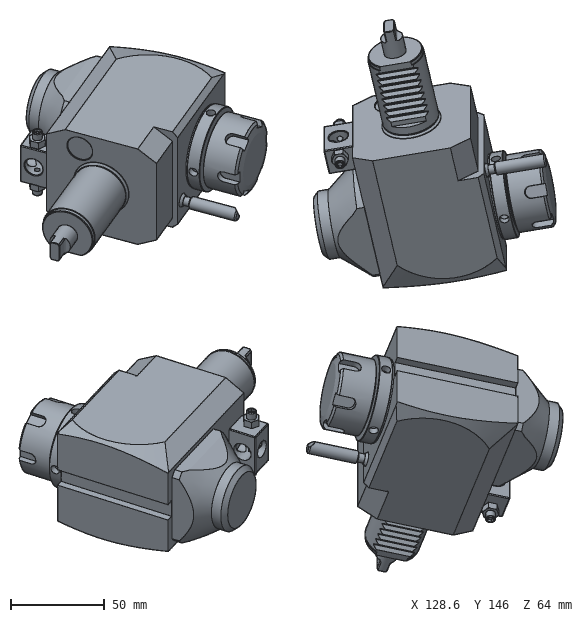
import cadquery as cq
import math

OVERLAP = 1.0

HALF_HEIGHT = 32.0
BLOCK_LEFT = -32.0
BLOCK_RIGHT = 32.0
SPINDLE_FACE = 35.0
BLOCK_DEPTH = 84.0
RELIEF_DEPTH = 21.2
BEVEL_Z = 6.3
BEVEL_ANGLE = 30.0
BEVEL_X = BEVEL_Z / math.tan(math.radians(BEVEL_ANGLE))
RIGHT_CHAMFER = 3.0
KEYWAY_WIDTH = 10.0
KEYWAY_DEPTH = 4.0

SHOULDER_X = 8.5
SHOULDER_Y = 42.0
SHOULDER_RADIUS = 39.0
SHOULDER_DROP = 10.0
SHOULDER_ANGLE = 18.5

RECESS_X = -12.6
RECESS_Z = 21.8
RECESS_RADIUS = 7.5
RECESS_DEPTH = 0.5
RECESS_TAPER = 0.3

SPINDLE_Y = 55.0

COVER_TIP_X = -61.0
COVER_TIP_CHAMFER = 2.7
COVER_RADIUS = 18.5
COVER_CONE_START_X = -52.6
COVER_CONE_END_X = -36.3
COVER_BASE_RADIUS = 31.6
COVER_BACK_Y = 79.5
COVER_HALF_HEIGHT = 23.2
COVER_CORNER = 2.3
COVER_SLOPE_X = -39.0
COVER_SLOPE_ANGLE = 15.0

SEAT_RADIUS = 23.0
RING_START_X = 35.8
RING_END_X = 43.2
RING_RADIUS = 23.5
RING_EDGE = 0.3
NECK_RADIUS = 17.5
NUT_START_X = 44.1
NUT_RADIUS = 21.0
NUT_SHOULDER_X = 62.4
NUT_RIM_X = 63.6
NUT_RIM_RADIUS = 19.6
NUT_END_X = 64.7
NUT_END_RADIUS = 14.5
RING_HOLE_X = 39.5
RING_HOLE_RADIUS = 2.5
RING_HOLE_DEPTH = 4.0
RING_HOLE_COUNT = 4
DRILL_TIP_ANGLE = 30.0
SLOT_COUNT = 6
SLOT_WIDTH = 6.6
SLOT_START_X = 52.6
SLOT_FLOOR_RADIUS = 17.4

NOZZLE_Y = 27.0
NOZZLE_Z = -16.9
NOZZLE_RADIUS = 3.5
NOZZLE_BASE_RADIUS = 3.9
NOZZLE_BASE_TOP_RADIUS = 2.9
NOZZLE_NECK_RADIUS = 2.5
NOZZLE_NECK_START_X = 36.6
NOZZLE_NECK_END_X = 39.9
NOZZLE_BODY_X = 40.6
NOZZLE_END_X = 67.63
NOZZLE_CHAMFER = 0.8
NOZZLE_BEVEL_X = 64.6

SHANK_RADIUS = 15.2
SHANK_LENGTH = 45.0
COLLAR_RADIUS = 16.0
COLLAR_RIM = 0.3
COLLAR_LENGTH = 1.2
COLLAR_GROOVE_RADIUS = 14.7
SHANK_BODY_START = 1.9
SHANK_TIP_LENGTH = 2.2
SHANK_TIP_RADIUS = 14.7
SHANK_TIP_CHAMFER = 0.4
FLAT_DISTANCE = 12.0
FLAT_START = 6.7
TOOTH_PITCH = 4.0
TOOTH_GROOVES = 8
FIRST_GROOVE = 11.3
GROOVE_DEPTH = 1.9
GROOVE_HALF_WIDTH = 1.75
GROOVE_ROOT_HALF_WIDTH = 0.25

DRIVE_RADIUS = 5.95
DRIVE_LENGTH = 62.0
TANG_START = 54.7
TANG_THICKNESS = 5.8
TANG_ROOT_RADIUS = 1.0
TANG_EDGE = 0.8
TANG_TIP_CHAMFER = 0.4

VALVE_LEFT = -47.9
VALVE_FRONT_Y = 1.3
VALVE_BACK_Y = 16.2
VALVE_HALF_HEIGHT = 12.2
VALVE_EDGE = 0.5
PORT_X = -40.0
FRONT_PORT_RADIUS = 5.2
FRONT_PORT_CHAMFER = 0.4
SIDE_PORT_Y = 8.9
SIDE_PORT_RADIUS = 4.8
SIDE_PORT_END_X = -33.0
FEED_RADIUS = 1.5
SCREW_BORE_RADIUS = 1.5

SCREW_Y = 6.2
HEX_FLATS = 8.0
HEX_HEIGHT = 4.2
HEX_CORNER_CUT = 0.4
STUD_RADIUS = 2.65
STUD_TOP_Z = 20.9
STUD_CHAMFER = 0.5
SOCKET_FLATS = 3.0
SOCKET_DEPTH = 1.5


def spindle_revolve(points, y, z=0.0):
    """Revolve an (x, radius) outline about the axis parallel to X through (y, z)."""
    outline = cq.Workplane("XY").polyline(points).close()
    return outline.revolve(360, (0, 0, 0), (1, 0, 0)).translate((0, y, z))


def shank_revolve(points):
    """Revolve a (radius, distance in front of the housing) outline about the Y axis."""
    outline = cq.Workplane("XY").polyline([(r, -d) for r, d in points]).close()
    return outline.revolve(360, (0, 0, 0), (0, 1, 0))


def along_y(points, y_start, y_end):
    """Extrude an (x, z) outline from y_start to y_end."""
    plane = cq.Workplane("XZ", origin=(0, y_start, 0))
    return plane.polyline(points).close().extrude(y_start - y_end)


def box(x_range, y_range, z_range):
    """Box from its (low, high) extent along each axis."""
    size = [high - low for low, high in (x_range, y_range, z_range)]
    corner = (x_range[0], y_range[0], z_range[0])
    return cq.Workplane("XY").box(*size, centered=False).translate(corner)


def hexagon_corners(flats):
    """Width across corners of a regular hexagon, from its width across flats."""
    return flats / math.cos(math.pi / 6)


def mirrored_outline(upper):
    """Close an upper (x, z) half outline with its mirror image below Z = 0."""
    return upper + [(x, -z) for x, z in reversed(upper)]


def make_block():
    bevel_base = HALF_HEIGHT - BEVEL_Z
    left_edge = [(BLOCK_LEFT, bevel_base), (BLOCK_LEFT + BEVEL_X, HALF_HEIGHT)]
    front_right = [(BLOCK_RIGHT - BEVEL_X, HALF_HEIGHT), (BLOCK_RIGHT, bevel_base)]
    rear_right = [
        (SPINDLE_FACE - RIGHT_CHAMFER, HALF_HEIGHT),
        (SPINDLE_FACE, HALF_HEIGHT - RIGHT_CHAMFER),
    ]
    front = along_y(mirrored_outline(left_edge + front_right), 0, RELIEF_DEPTH)
    rear = along_y(mirrored_outline(left_edge + rear_right), RELIEF_DEPTH, BLOCK_DEPTH)
    block = front.union(rear.intersect(make_shoulder()))
    keyway = box(
        (BLOCK_LEFT - OVERLAP, SPINDLE_FACE + OVERLAP),
        (BLOCK_DEPTH - KEYWAY_DEPTH, BLOCK_DEPTH + OVERLAP),
        (-KEYWAY_WIDTH / 2, KEYWAY_WIDTH / 2),
    )
    recess = (
        cq.Workplane("XZ", origin=(RECESS_X, 0, RECESS_Z))
        .circle(RECESS_RADIUS)
        .workplane(offset=-RECESS_DEPTH)
        .circle(RECESS_RADIUS - RECESS_TAPER)
        .loft()
    )
    return block.cut(keyway).cut(recess)


def make_shoulder():
    """Double cone about a vertical axis that bevels the back corners above and below."""
    flare = SHOULDER_DROP / math.tan(math.radians(SHOULDER_ANGLE))
    rim_z = HALF_HEIGHT - SHOULDER_DROP
    rim_radius = SHOULDER_RADIUS + flare
    points = [
        (0, HALF_HEIGHT),
        (SHOULDER_RADIUS, HALF_HEIGHT),
        (rim_radius, rim_z),
        (rim_radius, -rim_z),
        (SHOULDER_RADIUS, -HALF_HEIGHT),
        (0, -HALF_HEIGHT),
    ]
    outline = cq.Workplane("XZ").polyline(points).close()
    return outline.revolve(360, (0, 0, 0), (0, 1, 0)).translate((SHOULDER_X, SHOULDER_Y, 0))


def make_cover():
    base_x = BLOCK_LEFT + OVERLAP
    body = spindle_revolve(
        [
            (COVER_TIP_X, 0),
            (COVER_TIP_X, COVER_RADIUS - COVER_TIP_CHAMFER),
            (COVER_TIP_X + COVER_TIP_CHAMFER, COVER_RADIUS),
            (COVER_CONE_START_X, COVER_RADIUS),
            (COVER_CONE_END_X, COVER_BASE_RADIUS),
            (base_x, COVER_BASE_RADIUS),
            (base_x, 0),
        ],
        SPINDLE_Y,
    )
    front_y = SPINDLE_Y - COVER_BASE_RADIUS - OVERLAP
    bounds = box(
        (COVER_TIP_X, base_x),
        (front_y, COVER_BACK_Y),
        (-COVER_HALF_HEIGHT, COVER_HALF_HEIGHT),
    )
    bounds = bounds.edges("|X and >Y").chamfer(COVER_CORNER)
    slope_drop = (COVER_SLOPE_X - COVER_TIP_X) * math.tan(math.radians(COVER_SLOPE_ANGLE))
    slopes = along_y(
        mirrored_outline(
            [
                (COVER_TIP_X, COVER_HALF_HEIGHT - slope_drop),
                (COVER_SLOPE_X, COVER_HALF_HEIGHT),
                (base_x, COVER_HALF_HEIGHT),
            ]
        ),
        front_y,
        COVER_BACK_Y,
    )
    trimmed = body.intersect(bounds).intersect(slopes)
    tip_bounds = box(
        (COVER_TIP_X, COVER_CONE_START_X),
        (SPINDLE_Y - COVER_RADIUS, SPINDLE_Y + COVER_RADIUS),
        (-COVER_RADIUS, COVER_RADIUS),
    )
    return trimmed.union(body.intersect(tip_bounds))


def make_nut():
    body = spindle_revolve(
        [
            (SPINDLE_FACE - OVERLAP, 0),
            (SPINDLE_FACE - OVERLAP, SEAT_RADIUS),
            (RING_START_X, SEAT_RADIUS),
            (RING_START_X, RING_RADIUS - RING_EDGE),
            (RING_START_X + RING_EDGE, RING_RADIUS),
            (RING_END_X - RING_EDGE, RING_RADIUS),
            (RING_END_X, RING_RADIUS - RING_EDGE),
            (RING_END_X, NECK_RADIUS),
            (NUT_START_X, NECK_RADIUS),
            (NUT_START_X, NUT_RADIUS - RING_EDGE),
            (NUT_START_X + RING_EDGE, NUT_RADIUS),
            (NUT_SHOULDER_X, NUT_RADIUS),
            (NUT_RIM_X, NUT_RIM_RADIUS),
            (NUT_END_X, NUT_END_RADIUS),
            (NUT_END_X, 0),
        ],
        SPINDLE_Y,
    )
    centre = (0, SPINDLE_Y, 0)
    axis_end = (1, SPINDLE_Y, 0)
    for index in range(RING_HOLE_COUNT):
        body = body.cut(make_ring_hole().rotate(centre, axis_end, index * 360 / RING_HOLE_COUNT))
    for index in range(SLOT_COUNT):
        body = body.cut(make_nut_slot().rotate(centre, axis_end, index * 360 / SLOT_COUNT))
    return body


def make_ring_hole():
    """Drilled spanner hole with a conical bottom, on the -Y side of the ring."""
    surface = RING_RADIUS + OVERLAP
    floor = RING_RADIUS - RING_HOLE_DEPTH
    tip = floor - RING_HOLE_RADIUS * math.tan(math.radians(DRILL_TIP_ANGLE))
    points = [(0, surface), (RING_HOLE_RADIUS, surface), (RING_HOLE_RADIUS, floor), (0, tip)]
    return shank_revolve(points).translate((RING_HOLE_X, SPINDLE_Y, 0))


def make_nut_slot():
    """Round-ended spanner slot, open at the end of the nut, on its -Y side."""
    half = SLOT_WIDTH / 2
    slot = (
        cq.Workplane("XZ", origin=(0, SPINDLE_Y - SLOT_FLOOR_RADIUS, 0))
        .moveTo(NUT_END_X + OVERLAP, -half)
        .lineTo(SLOT_START_X + half, -half)
        .threePointArc((SLOT_START_X, 0), (SLOT_START_X + half, half))
        .lineTo(NUT_END_X + OVERLAP, half)
        .close()
        .extrude(NUT_RADIUS)
    )
    return slot


def make_nozzle():
    body = spindle_revolve(
        [
            (SPINDLE_FACE - OVERLAP, 0),
            (SPINDLE_FACE - OVERLAP, NOZZLE_BASE_RADIUS),
            (SPINDLE_FACE, NOZZLE_BASE_RADIUS),
            (NOZZLE_NECK_START_X, NOZZLE_BASE_TOP_RADIUS),
            (NOZZLE_NECK_START_X, NOZZLE_NECK_RADIUS),
            (NOZZLE_NECK_END_X, NOZZLE_NECK_RADIUS),
            (NOZZLE_BODY_X, NOZZLE_RADIUS),
            (NOZZLE_END_X - NOZZLE_CHAMFER, NOZZLE_RADIUS),
            (NOZZLE_END_X, NOZZLE_RADIUS - NOZZLE_CHAMFER),
            (NOZZLE_END_X, 0),
        ],
        NOZZLE_Y,
        NOZZLE_Z,
    )
    toward_y = SPINDLE_Y - NOZZLE_Y
    toward_z = -NOZZLE_Z
    reach = math.hypot(toward_y, toward_z)
    rim = (
        NOZZLE_BEVEL_X,
        NOZZLE_Y + NOZZLE_RADIUS * toward_y / reach,
        NOZZLE_Z + NOZZLE_RADIUS * toward_z / reach,
    )
    bevel_plane = cq.Plane(origin=rim, normal=(reach, toward_y, toward_z))
    diameter = 2 * NOZZLE_RADIUS
    bevel = cq.Workplane(bevel_plane).circle(2 * diameter).extrude(diameter)
    return body.cut(bevel)


def make_shank():
    tip_start = SHANK_LENGTH - SHANK_TIP_LENGTH
    body = shank_revolve(
        [
            (0, -OVERLAP),
            (COLLAR_RADIUS, -OVERLAP),
            (COLLAR_RADIUS, COLLAR_RIM),
            (COLLAR_GROOVE_RADIUS, COLLAR_LENGTH),
            (COLLAR_GROOVE_RADIUS, SHANK_BODY_START),
            (SHANK_RADIUS, SHANK_BODY_START),
            (SHANK_RADIUS, tip_start),
            (SHANK_TIP_RADIUS, tip_start),
            (SHANK_TIP_RADIUS, SHANK_LENGTH - SHANK_TIP_CHAMFER),
            (SHANK_TIP_RADIUS - SHANK_TIP_CHAMFER, SHANK_LENGTH),
            (0, SHANK_LENGTH),
        ]
    )
    flat = box(
        (-SHANK_RADIUS, SHANK_RADIUS),
        (-SHANK_LENGTH - OVERLAP, -FLAT_START),
        (-SHANK_RADIUS - OVERLAP, -FLAT_DISTANCE),
    )
    body = body.cut(flat)
    for index in range(TOOTH_GROOVES):
        body = body.cut(make_tooth_groove(FIRST_GROOVE + index * TOOTH_PITCH))
    return body


def make_tooth_groove(distance):
    """Trapezoidal groove across the shank flat, at a distance in front of the housing."""
    points = [
        (-distance - GROOVE_HALF_WIDTH, -FLAT_DISTANCE),
        (-distance + GROOVE_HALF_WIDTH, -FLAT_DISTANCE),
        (-distance + GROOVE_ROOT_HALF_WIDTH, -FLAT_DISTANCE + GROOVE_DEPTH),
        (-distance - GROOVE_ROOT_HALF_WIDTH, -FLAT_DISTANCE + GROOVE_DEPTH),
    ]
    return cq.Workplane("YZ").polyline(points).close().extrude(SHANK_RADIUS, both=True)


def make_drive():
    body = (
        cq.Workplane("XZ", origin=(0, -SHANK_LENGTH + OVERLAP, 0))
        .circle(DRIVE_RADIUS)
        .extrude(DRIVE_LENGTH - SHANK_LENGTH + OVERLAP)
    )
    half = TANG_THICKNESS / 2
    cheek = box(
        (half, half + DRIVE_RADIUS),
        (-DRIVE_LENGTH - OVERLAP, -TANG_START),
        (-DRIVE_RADIUS - OVERLAP, DRIVE_RADIUS + OVERLAP),
    )
    cheek = cheek.edges("|Z and <X and >Y").fillet(TANG_ROOT_RADIUS)
    body = body.cut(cheek).cut(cheek.mirror("YZ"))
    corner_z = math.sqrt(DRIVE_RADIUS**2 - half**2)
    tip = box(
        (-half, half),
        (-DRIVE_LENGTH, -TANG_START),
        (-DRIVE_RADIUS, DRIVE_RADIUS),
    )
    chamfer_z = DRIVE_RADIUS - corner_z + TANG_EDGE
    tip = tip.edges("|Y").chamfer(chamfer_z, TANG_EDGE)
    tip = tip.faces("<Y").chamfer(TANG_TIP_CHAMFER)
    shaft = box(
        (-DRIVE_RADIUS, DRIVE_RADIUS),
        (-TANG_START - TANG_ROOT_RADIUS, 0),
        (-DRIVE_RADIUS, DRIVE_RADIUS),
    )
    return body.intersect(shaft.union(tip))


def make_valve():
    body = box(
        (VALVE_LEFT, BLOCK_LEFT),
        (VALVE_FRONT_Y, VALVE_BACK_Y),
        (-VALVE_HALF_HEIGHT, VALVE_HALF_HEIGHT),
    )
    body = body.faces("<X or |Y or |Z").edges("not >X").chamfer(VALVE_EDGE)
    mouth_radius = FRONT_PORT_RADIUS + FRONT_PORT_CHAMFER
    port_length = VALVE_BACK_Y - VALVE_FRONT_Y
    port_points = [
        (0, 0),
        (mouth_radius, 0),
        (FRONT_PORT_RADIUS, -FRONT_PORT_CHAMFER),
        (FRONT_PORT_RADIUS, -port_length),
        (0, -port_length),
    ]
    front_port = shank_revolve(port_points).translate((PORT_X, VALVE_FRONT_Y, 0))
    side_port = spindle_revolve(
        [
            (VALVE_LEFT, 0),
            (VALVE_LEFT, SIDE_PORT_RADIUS),
            (SIDE_PORT_END_X, SIDE_PORT_RADIUS),
            (SIDE_PORT_END_X, FEED_RADIUS),
            (BLOCK_LEFT, FEED_RADIUS),
            (BLOCK_LEFT, 0),
        ],
        SIDE_PORT_Y,
    )
    body = body.cut(front_port).cut(side_port)
    screw = make_plug_screw()
    bore_depth = VALVE_HALF_HEIGHT + HEX_HEIGHT
    bore_start = cq.Workplane("XY", origin=(PORT_X, SCREW_Y, 0))
    screw_bores = bore_start.circle(SCREW_BORE_RADIUS).extrude(bore_depth, both=True)
    return body.union(screw).union(screw.mirror("XY")).cut(screw_bores)


def make_plug_screw():
    """Upper plug screw: a hexagon with broken corners and a stud with a hexagon socket."""
    across_corners = hexagon_corners(HEX_FLATS)
    hex_base = cq.Workplane("XY", origin=(PORT_X, SCREW_Y, VALVE_HALF_HEIGHT - OVERLAP))
    height = HEX_HEIGHT + OVERLAP
    rounding = hex_base.circle(across_corners / 2).extrude(height)
    rounding = rounding.faces(">Z").chamfer(HEX_CORNER_CUT)
    head = hex_base.polygon(6, across_corners).extrude(height).intersect(rounding)
    stud_length = STUD_TOP_Z - VALVE_HALF_HEIGHT + OVERLAP
    stud = hex_base.circle(STUD_RADIUS).extrude(stud_length).faces(">Z").chamfer(STUD_CHAMFER)
    socket_corners = hexagon_corners(SOCKET_FLATS)
    socket_top = cq.Workplane("XY", origin=(PORT_X, SCREW_Y, STUD_TOP_Z))
    socket = socket_top.polygon(6, socket_corners).extrude(-SOCKET_DEPTH)
    return head.union(stud).cut(socket)


result = (
    make_block()
    .union(make_cover())
    .union(make_nut())
    .union(make_nozzle())
    .union(make_shank())
    .union(make_drive())
    .union(make_valve())
)